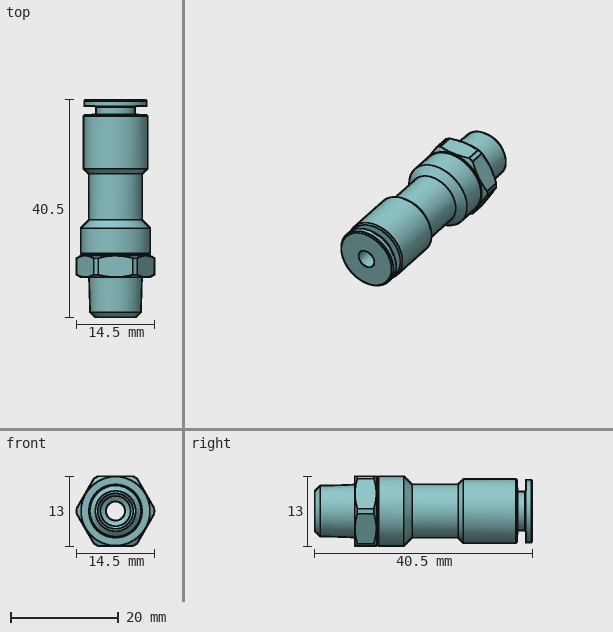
import cadquery as cq
import math


total_length = 40.45
stud_length = 7.45
hex_end = 11.5
sleeve_start = 11.7
sleeve_end = 16.6

stud_root_radius = 4.95
stud_taper = 1 / 16
stud_chamfer = 1.0

hex_sides = 6
hex_across_flats = 13.0
hex_across_corners = 14.5
hex_face_diameter = 12.8
hex_chamfer_angle = 30.0

sleeve_radius = hex_across_flats / 2
sleeve_edge_chamfer = 0.2
waist_radius = 5.0
head_radius = 6.0
head_length = 10.0
head_edge_chamfer = 0.3

collar_radius = 5.85
collar_thickness = 1.2
collar_chamfer = 0.25
collar_gap = 1.6
neck_radius = 3.65
neck_cone = 0.2
neck_seat_radius = 4.2
neck_seat_height = 0.1

passage_diameter = 3.5
counterbore_radius = 2.8
counterbore_depth = hex_end
counterbore_chamfer = 0.5
drill_point_angle = 118.0


def revolve_about_y(points):
    """Turn a closed (radius, y) outline around the Y axis."""
    return cq.Workplane("XY").polyline(points).close().revolve(360, (0, 0, 0), (0, 1, 0))


def make_stud():
    """Tapered stud with a chamfered tip, reaching into the hexagon's end face."""
    tip_radius = stud_root_radius - stud_taper / 2 * (stud_length - stud_chamfer)
    return revolve_about_y([
        (0, 0),
        (tip_radius - stud_chamfer, 0),
        (tip_radius, stud_chamfer),
        (stud_root_radius, stud_length),
        (0, stud_length),
    ])


def make_hexagon():
    """Hexagon with flats facing +Z and -Z, its corners rounded and chamfered at both ends."""
    corner_radius = hex_across_corners / 2
    face_radius = hex_face_diameter / 2
    chamfer_length = (corner_radius - face_radius) * math.tan(math.radians(hex_chamfer_angle))
    sharp_corner_diameter = hex_across_flats / math.cos(math.pi / hex_sides)
    hexagon = (
        cq.Workplane("XZ", origin=(0, stud_length, 0))
        .polygon(hex_sides, sharp_corner_diameter)
        .extrude(stud_length - hex_end)
    )
    envelope = revolve_about_y([
        (0, stud_length),
        (face_radius, stud_length),
        (corner_radius, stud_length + chamfer_length),
        (corner_radius, hex_end - chamfer_length),
        (face_radius, hex_end),
        (0, hex_end),
    ])
    return hexagon.intersect(envelope)


def make_body():
    """Sleeve, waist and head joined by 45 degree cones, then the neck and release collar."""
    joint_radius = sleeve_radius - sleeve_edge_chamfer
    waist_start = sleeve_end + sleeve_radius - waist_radius
    collar_start = total_length - collar_thickness
    head_end = collar_start - collar_gap
    head_start = head_end - head_length
    waist_end = head_start - (head_radius - waist_radius)
    return revolve_about_y([
        (0, hex_end),
        (joint_radius, hex_end),
        (joint_radius, sleeve_start),
        (sleeve_radius, sleeve_start + sleeve_edge_chamfer),
        (sleeve_radius, sleeve_end),
        (waist_radius, waist_start),
        (waist_radius, waist_end),
        (head_radius, head_start),
        (head_radius, head_end - head_edge_chamfer),
        (head_radius - head_edge_chamfer, head_end),
        (neck_seat_radius, head_end),
        (neck_seat_radius, head_end + neck_seat_height),
        (neck_radius, head_end + neck_seat_height),
        (neck_radius, collar_start - neck_cone),
        (neck_radius + neck_cone, collar_start),
        (collar_radius, collar_start),
        (collar_radius, total_length - collar_chamfer),
        (collar_radius - collar_chamfer, total_length),
        (0, total_length),
    ])


def make_bore():
    """Through passage with a chamfered, drill-pointed counterbore in the stud end."""
    passage_radius = passage_diameter / 2
    point_length = (counterbore_radius - passage_radius) / math.tan(math.radians(drill_point_angle / 2))
    return revolve_about_y([
        (0, 0),
        (counterbore_radius + counterbore_chamfer, 0),
        (counterbore_radius, counterbore_chamfer),
        (counterbore_radius, counterbore_depth),
        (passage_radius, counterbore_depth + point_length),
        (passage_radius, total_length),
        (0, total_length),
    ])


result = make_stud().union(make_hexagon()).union(make_body()).cut(make_bore())